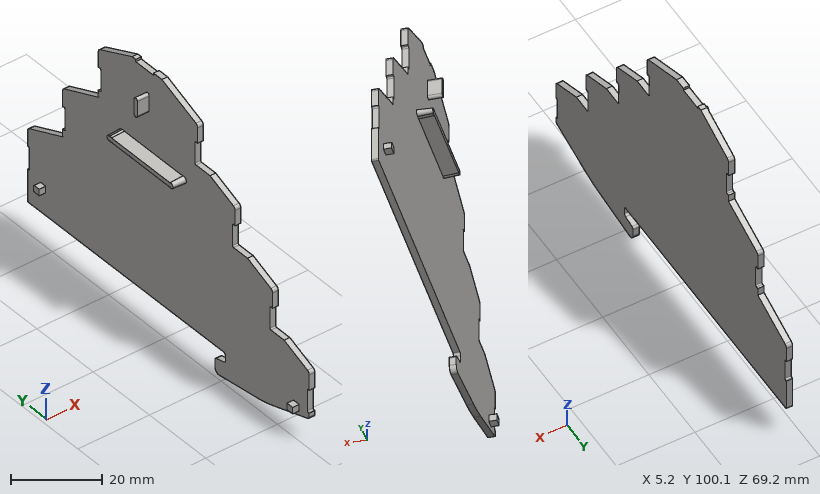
import cadquery as cq
import math

length = 100.1
plate_thickness = 1.6
top_z = 61.9

slope = math.tan(math.radians(22))
top_flat_left_y = 12.9
top_flat_right_y = 2.3
roof_notch_left_y = 11.6
roof_notch_right_y = 5.3
roof_notch_depth = 0.6

notch_depth = 0.9
notch_height = 6.3
notch_top_z = 51.9
left_side_y = 24.9
right_side_y = -10.4
left_tier_run = 12.7
left_tier_drop = 18.3
left_tier_count = 3
right_tier_run = 13.3
right_tier_drop = 14.8
right_tier_count = 4
shoulder_above_notch = 4.9

shoulder_radius = 1.0
notch_radius = 0.3
bottom_corner_radius = 0.3

hook_side_y = -16.5
hook_throat_y = -20.2
hook_tip_top_z = -3.4
hook_throat_z = -2.6
hook_tip_bottom_z = -7.5
foot_bend_y = -34.4
foot_bend_z = -5.2
foot_end_z = -0.4
throat_radius = 0.6
hook_top_radius = 0.6
hook_bottom_radius = 1.4
foot_bend_radius = 36.0
foot_end_radius = 0.8

rib_y, rib_z = 5.5, 39.0
rib_length, rib_width, rib_height = 23.8, 1.6, 3.6
rib_post_radius = 0.9
rib_post_left_y, rib_post_right_y = 16.0, -5.5
rib_draft = 3.0
tab_y, tab_z = 7.4, 52.7
tab_length, tab_width, tab_height = 5.2, 1.2, 3.3
peg_height = 1.8
left_peg_y, left_peg_z = 44.6, 7.2
left_peg_length, left_peg_width = 2.1, 1.8
left_peg_chamfer = 0.3
right_peg_y, right_peg_z = -45.4, 0.6
right_peg_length, right_peg_width = 2.0, 1.8


def left_tier(index):
    """Outline of one +Y tier, from the floor of its notch up to its shoulder."""
    side = left_side_y + index * left_tier_run
    ceiling = notch_top_z - index * left_tier_drop
    floor = ceiling - notch_height
    outer = min(side, length / 2)
    inner = side - notch_depth
    return [(outer, floor), (inner, floor), (inner, ceiling), (outer, ceiling),
            (outer, ceiling + shoulder_above_notch)]


def right_tier(index):
    """Outline of one -Y tier, from its shoulder down to the floor of its notch."""
    side = right_side_y - index * right_tier_run
    ceiling = notch_top_z - index * right_tier_drop
    outer = max(side, -length / 2)
    inner = side + notch_depth
    return [(outer, ceiling + shoulder_above_notch),
            (outer, ceiling), (inner, ceiling), (inner, ceiling - notch_height)]


def outline():
    """Corner points of the plate, the corners to be rounded and their radii."""
    points = [(length / 2, 0)]
    rounded = [(points[0], bottom_corner_radius)]

    for index in reversed(range(left_tier_count)):
        tier = left_tier(index)
        points += tier
        rounded += [(tier[1], notch_radius), (tier[2], notch_radius), (tier[-1], shoulder_radius)]
        if index > 0:
            next_side = left_side_y + (index - 1) * left_tier_run
            points.append((next_side, tier[-1][1] + slope * (tier[-1][0] - next_side)))

    notch_floor_z = top_z - roof_notch_depth
    points += [(top_flat_left_y, top_z), (roof_notch_left_y, top_z),
               (roof_notch_left_y, notch_floor_z), (roof_notch_right_y, notch_floor_z),
               (roof_notch_right_y, top_z), (top_flat_right_y, top_z)]

    for index in range(right_tier_count):
        tier = right_tier(index)
        if index > 0:
            step_z = points[-1][1]
            points.append((tier[0][0] + (step_z - tier[0][1]) / slope, step_z))
        points += tier
        rounded += [(tier[0], shoulder_radius), (tier[2], notch_radius), (tier[3], notch_radius)]

    foot = [((-length / 2, foot_end_z), foot_end_radius),
            ((foot_bend_y, foot_bend_z), foot_bend_radius),
            ((hook_side_y, hook_tip_bottom_z), hook_bottom_radius),
            ((hook_side_y, hook_tip_top_z), hook_top_radius),
            ((hook_throat_y, hook_throat_z), throat_radius),
            ((hook_throat_y, 0), throat_radius)]
    points.append((-length / 2, points[-1][1]))
    points += [corner for corner, radius in foot]
    return points, rounded + foot


def make_plate():
    points, rounded = outline()
    plate = cq.Workplane("YZ").polyline(points).close().extrude(plate_thickness)
    for (y, z), radius in rounded:
        corner = cq.selectors.NearestToPointSelector((plate_thickness / 2, y, z))
        plate = plate.edges("|X").edges(corner).fillet(radius)
    return plate


def face_plane(y, z):
    """Workplane on the -X face: local x along -Y, local y along Z, normal pointing out to -X."""
    return cq.Workplane(cq.Plane(origin=(0, y, z), xDir=(0, -1, 0), normal=(-1, 0, 0)))


def make_rib():
    """Long drafted rib with a round post near each end."""
    rib = face_plane(rib_y, rib_z).slot2D(rib_length, rib_width).extrude(rib_height, taper=rib_draft)
    for post_y in (rib_post_left_y, rib_post_right_y):
        post = face_plane(post_y, rib_z).circle(rib_post_radius).extrude(rib_height, taper=rib_draft)
        rib = rib.union(post)
    return rib


def make_tab():
    """Upright tab with round ends."""
    return face_plane(tab_y, tab_z).slot2D(tab_length, tab_width, 90).extrude(tab_height)


def make_peg(y, z, peg_length, peg_width):
    """Rectangular locating peg."""
    return face_plane(y, z).rect(peg_length, peg_width).extrude(peg_height)


left_peg = make_peg(left_peg_y, left_peg_z, left_peg_length, left_peg_width)
left_peg = left_peg.edges("|X").edges(">Y and >Z").chamfer(left_peg_chamfer)
right_peg = make_peg(right_peg_y, right_peg_z, right_peg_length, right_peg_width)

result = make_plate()
for feature in (make_rib(), make_tab(), left_peg, right_peg):
    result = result.union(feature)